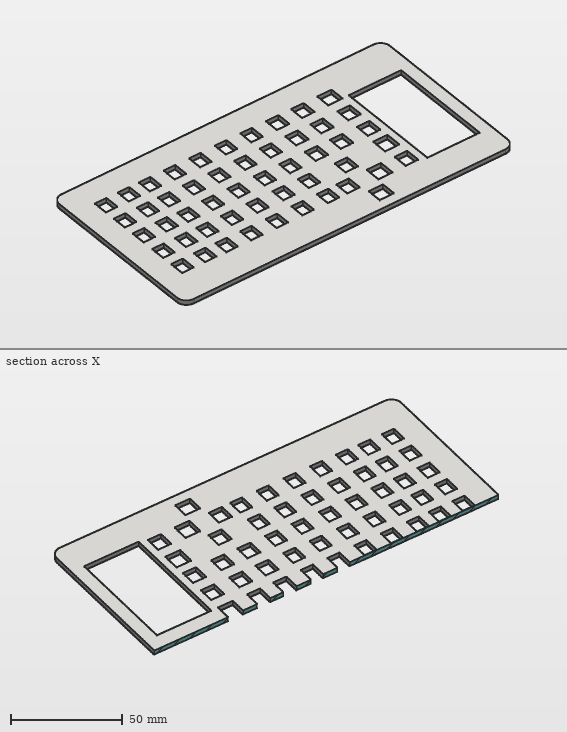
import cadquery as cq

length = 188.0
width = 96.6
thickness = 2.6
corner_radius = 5.3

window_width = 57.5
window_height = 29.7
window_center = (2.8, 72.2)

key_width = 8.0
tall_key = 8.0
medium_key = 7.1
short_key = 6.5

column_x = [-29.9, -15.8, -1.5, 12.2, 26.1]
lower_column_x = [-29.7, -15.8, -1.7, 12.2, 26.3]
bottom_column_x = [-29.7, -15.8, -2.0, 12.2, 26.1]
left_columns = column_x[:3]

key_rows = [
    (49.6, medium_key, [column_x[1], column_x[2], column_x[4]]),
    (34.2, medium_key, left_columns),
    (20.0, medium_key, left_columns),
    (5.0, short_key, column_x),
    (-9.4, short_key, column_x),
    (-24.2, short_key, lower_column_x),
    (-38.7, short_key, lower_column_x),
    (-52.8, short_key, lower_column_x),
    (-64.8, short_key, bottom_column_x),
    (-77.8, short_key, bottom_column_x),
]

top_left_key = (column_x[0], 49.6)
top_fourth_key = (11.8, 49.2)
top_fourth_width = 8.8

arrow_up = (26.1, 34.4)
arrow_left = (13.3, 25.4)
arrow_right = (38.7, 25.5)
arrow_down = (26.0, 16.5)
arrow_up_width = 8.6


def opening(center, opening_width, opening_height):
    """Rectangular cutter reaching through the plate."""
    return (
        cq.Workplane("XY")
        .center(*center)
        .rect(opening_width, opening_height)
        .extrude(thickness)
    )


result = (
    cq.Workplane("XY")
    .rect(width, length)
    .extrude(thickness)
    .edges("|Z")
    .fillet(corner_radius)
)

result = result.cut(opening(window_center, window_width, window_height))

for row_y, key_height, key_xs in key_rows:
    for key_x in key_xs:
        result = result.cut(opening((key_x, row_y), key_width, key_height))

result = result.cut(opening(top_left_key, key_width, tall_key))
result = result.cut(opening(top_fourth_key, top_fourth_width, tall_key))

result = result.cut(opening(arrow_up, arrow_up_width, tall_key))
result = result.cut(opening(arrow_left, key_width, medium_key))
result = result.cut(opening(arrow_right, key_width, tall_key))
result = result.cut(opening(arrow_down, key_width, medium_key))